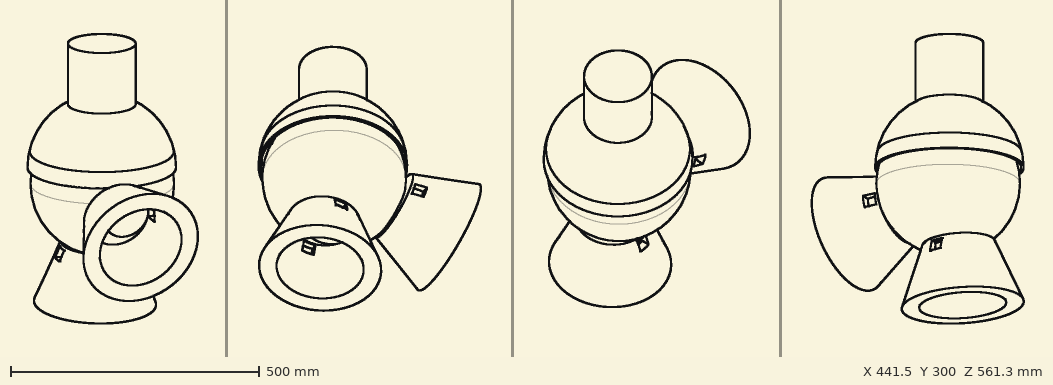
import cadquery as cq
import math


dome_radius = 150.0
post_radius = 68.5
post_top = 260.6
bore_depth = 33.0

ball_radius = 145.0
ball_offset_x = 3.0
ball_centre_z = -bore_depth
bore_radius = ball_radius

horn_length = 130.0
mouth_outer_radius = 73.5
cavity_top_radius = 63.0
mouth_plate_thickness = 5.0
flare_outer_radius = 123.5
flare_inner_radius = 88.0
window_width = 26.0
window_height = 23.0
window_start = 7.0

horn_poses = [
    {"mouth": (-21.5, -2.0, -162.3), "roll": 179.4, "lean": -0.65, "pitch": 4.0},
    {"mouth": (131.9, -13.0, -64.4), "roll": -7.0, "lean": 1.5, "pitch": -76.2},
]


def sphere_point(radius, centre_z, z):
    """Point (r, z) on the profile of a sphere centred on the Z axis."""
    return (math.sqrt(radius**2 - (z - centre_z) ** 2), z)


def make_cap():
    """Hemispherical dome with a post on top, bored from below."""
    post_foot = math.sqrt(dome_radius**2 - post_radius**2)
    arc_middle = sphere_point(dome_radius, 0, post_foot / 2)
    profile = (
        cq.Workplane("XZ")
        .moveTo(0, bore_depth)
        .lineTo(bore_radius, bore_depth)
        .lineTo(bore_radius, 0)
        .lineTo(dome_radius, 0)
        .threePointArc(arc_middle, (post_radius, post_foot))
        .lineTo(post_radius, post_top)
        .lineTo(0, post_top)
        .close()
    )
    return profile.revolve(360, (0, 0, 0), (0, 1, 0))


def make_ball():
    """Ball with a flat top that rests against the end of the cap's bore."""
    flat_top = bore_depth
    lower_middle = sphere_point(ball_radius, ball_centre_z, ball_centre_z - ball_radius / 2)
    upper_middle = sphere_point(ball_radius, ball_centre_z, 0)
    profile = (
        cq.Workplane("XZ")
        .moveTo(0, ball_centre_z - ball_radius)
        .threePointArc(lower_middle, (ball_radius, ball_centre_z))
        .threePointArc(upper_middle, sphere_point(ball_radius, ball_centre_z, flat_top))
        .lineTo(0, flat_top)
        .close()
    )
    body = profile.revolve(360, (0, 0, 0), (0, 1, 0), clean=False)
    return body.translate((ball_offset_x, 0, 0))


def make_horn():
    """Hollow cone, closed at the origin and widening downwards, with a window through both sides along Y."""
    wall = (
        cq.Workplane("XZ")
        .polyline(
            [
                (0, 0),
                (mouth_outer_radius, 0),
                (flare_outer_radius, -horn_length),
                (flare_inner_radius, -horn_length),
                (cavity_top_radius, -mouth_plate_thickness),
                (0, -mouth_plate_thickness),
            ]
        )
        .close()
        .revolve(360, (0, 0, 0), (0, 1, 0))
    )
    window_centre_z = -(window_start + window_height / 2)
    window = cq.Workplane("XY").box(window_width, 2 * flare_outer_radius, window_height)
    return wall.cut(window.translate((0, 0, window_centre_z)))


def place_horn(pose, cap, ball):
    """Turn a horn, move it to the ball and cut away what the ball and the cap's rim take up."""
    horn = (
        make_horn()
        .rotate((0, 0, 0), (0, 0, 1), pose["roll"])
        .rotate((0, 0, 0), (1, 0, 0), pose["lean"])
        .rotate((0, 0, 0), (0, 1, 0), pose["pitch"])
        .translate(pose["mouth"])
    )
    return horn.cut(ball).cut(cap).solids()


cap = make_cap()
ball = make_ball()
horns = [place_horn(pose, cap, ball) for pose in horn_poses]

result = cq.Compound.makeCompound([cap.val(), ball.val(), *[horn.val() for horn in horns]])